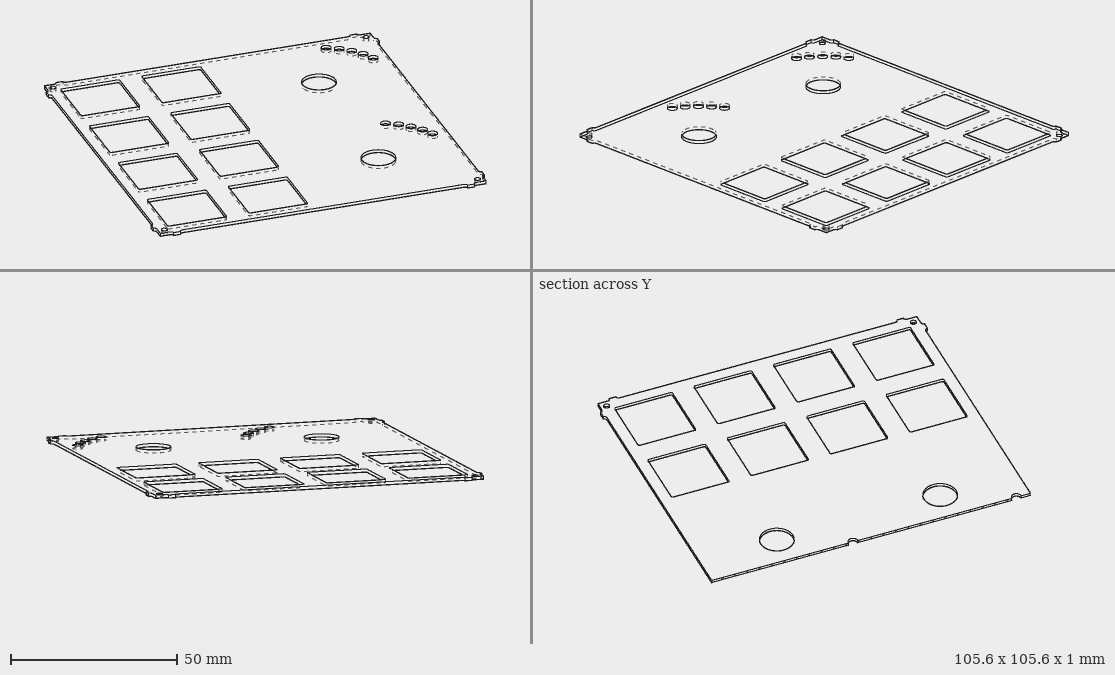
import cadquery as cq
import math

overall_width = 105.6
thickness = 1.0
tab_height = 0.8
body_width = overall_width - 2 * tab_height

tab_offset = 46.9
tab_width = 2.2
tab_overlap = 1.1

screw_hole_offset = 50.0
screw_hole_diameter = 1.8

dial_offset_x = 26.6
dial_y = 26.6
shaft_hole_diameter = 10.5
indicator_hole_diameter = 3.0
indicator_arc_radius = 22.9
indicator_count = 5
indicator_first_angle = 115
indicator_angle_step = 10

key_columns = 4
key_rows = 2
key_pitch = 25.9
key_window = 18.8
key_corner_radius = 0.5


def edge_tab(x):
    """Tab on the +Y edge, centred at x, its flanks running tangent into the edge."""
    edge_y = body_width / 2
    tip_y = edge_y + tab_height
    half_width = tab_width / 2
    foot = half_width + tab_height
    mid_flank = tab_height * (1 - math.cos(math.pi / 4))
    return (
        cq.Workplane("XY")
        .moveTo(x - foot, edge_y - tab_overlap)
        .lineTo(x - foot, edge_y)
        .threePointArc((x - half_width - mid_flank, edge_y + mid_flank), (x - half_width, tip_y))
        .lineTo(x + half_width, tip_y)
        .threePointArc((x + half_width + mid_flank, edge_y + mid_flank), (x + foot, edge_y))
        .lineTo(x + foot, edge_y - tab_overlap)
        .close()
        .extrude(thickness)
    )


def through_holes(points, diameter):
    """Round cutters through the plate at the given points."""
    return cq.Workplane("XY").pushPoints(points).circle(diameter / 2).extrude(thickness)


def indicator_points(dial_x):
    """Centres of the indicator holes around one dial."""
    points = []
    for i in range(indicator_count):
        angle = math.radians(indicator_first_angle + i * indicator_angle_step)
        x = dial_x + indicator_arc_radius * math.cos(angle)
        y = dial_y + indicator_arc_radius * math.sin(angle)
        points.append((x, y))
    return points


def key_windows():
    """Cutters for the key windows, with rounded corners."""
    first_x = -(key_columns - 1) / 2 * key_pitch
    first_y = -key_pitch / 2
    centres = [
        (first_x + column * key_pitch, first_y - row * key_pitch)
        for column in range(key_columns)
        for row in range(key_rows)
    ]
    return (
        cq.Workplane("XY")
        .pushPoints(centres)
        .rect(key_window, key_window)
        .extrude(thickness)
        .edges("|Z")
        .fillet(key_corner_radius)
    )


plate = cq.Workplane("XY").box(body_width, body_width, thickness, centered=(True, True, False))
for edge_angle in (0, 90, 180, 270):
    for tab_x in (-tab_offset, tab_offset):
        tab = edge_tab(tab_x).rotate((0, 0, 0), (0, 0, 1), edge_angle)
        plate = plate.union(tab)

screw_points = [
    (sx * screw_hole_offset, sy * screw_hole_offset)
    for sx in (-1, 1)
    for sy in (-1, 1)
]
plate = plate.cut(through_holes(screw_points, screw_hole_diameter))

for dial_x in (-dial_offset_x, dial_offset_x):
    plate = plate.cut(through_holes([(dial_x, dial_y)], shaft_hole_diameter))
    plate = plate.cut(through_holes(indicator_points(dial_x), indicator_hole_diameter))

result = plate.cut(key_windows())